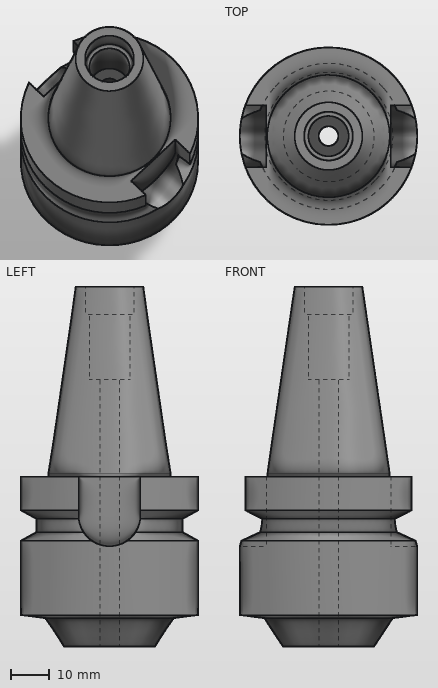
import cadquery as cq

total_height = 93.4
body_radius = 23.02

nose_height = 7.4
body_bottom = 8.2
groove_bottom = 27.5
groove_floor_bottom = 29.7
groove_floor_top = 33.2
groove_top = 35.4
flange_top = 44.1
taper_start = 44.9

nose_tip_radius = 11.8
nose_base_radius = 16.6
groove_radius = 19.0
taper_base_radius = 15.9
taper_top_radius = 8.8

slot_width = 16.1
slot_bottom = 26.1
slot_floor_offset = 16.2

entry_bore_radius = 6.35
entry_bore_depth = 7.2
middle_bore_radius = 5.2
middle_bore_depth = 24.0
through_hole_radius = 2.5


def make_body():
    """Revolved holder: conical nose, grooved flange and taper shank."""
    profile = (
        cq.Workplane("XZ")
        .lineTo(nose_tip_radius, 0)
        .lineTo(nose_base_radius, nose_height)
        .lineTo(body_radius, body_bottom)
        .lineTo(body_radius, groove_bottom)
        .lineTo(groove_radius, groove_floor_bottom)
        .lineTo(groove_radius, groove_floor_top)
        .lineTo(body_radius, groove_top)
        .lineTo(body_radius, flange_top)
        .lineTo(taper_base_radius, flange_top)
        .lineTo(taper_base_radius, taper_start)
        .lineTo(taper_top_radius, total_height)
        .lineTo(0, total_height)
        .close()
    )
    return profile.revolve(360, (0, 0, 0), (0, 1, 0))


def make_drive_slot():
    """Round-bottomed slot cutter on the +X side, open at the flange top."""
    half_width = slot_width / 2
    arc_center = slot_bottom + half_width
    return (
        cq.Workplane("YZ", origin=(slot_floor_offset, 0, 0))
        .moveTo(-half_width, flange_top)
        .lineTo(-half_width, arc_center)
        .threePointArc((0, slot_bottom), (half_width, arc_center))
        .lineTo(half_width, flange_top)
        .close()
        .extrude(body_radius)
    )


def make_bore(radius, depth):
    """Axial hole cutter reaching down from the top of the taper."""
    return cq.Workplane("XY", origin=(0, 0, total_height - depth)).circle(radius).extrude(depth)


result = make_body()

for angle in (0, 180):
    slot = make_drive_slot().rotate((0, 0, 0), (0, 0, 1), angle)
    result = result.cut(slot)

bores = (
    (entry_bore_radius, entry_bore_depth),
    (middle_bore_radius, middle_bore_depth),
    (through_hole_radius, total_height),
)
for bore_radius, bore_depth in bores:
    result = result.cut(make_bore(bore_radius, bore_depth))